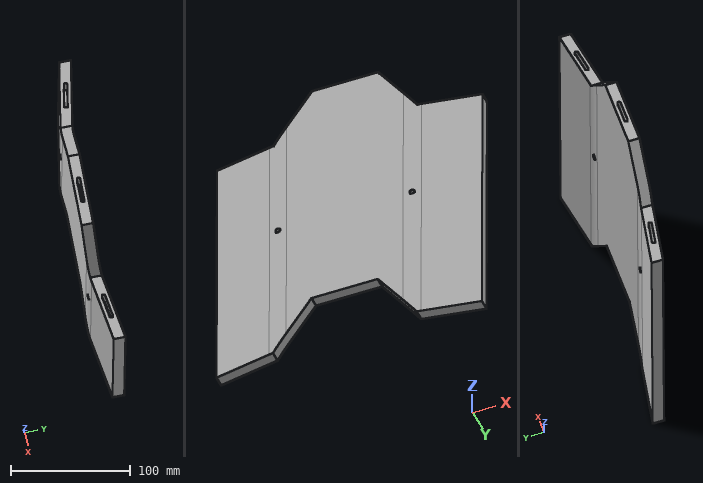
import cadquery as cq
import math

width = 240.0
height = 290.0
thickness = 10.0
wing_angle = 9.7
lean_angle = 0.25
bend_x = 60.75
bend_half_width = 7.98
shoulder_step = 50.0
tongue_half_width = 30.0
shoulder_x = 65.0
slot_length = 21.0
slot_width = 3.0
slot_depth = 29.0
wing_slot_x = 91.4
hole_diameter = 4.4
hole_z = 140.0

half_width = width / 2
wing_top = height - shoulder_step
wing_slope = math.tan(math.radians(wing_angle))
bend_radius = bend_half_width / math.sin(math.radians(wing_angle / 2))


def bend_height(share):
    """Rise of the front face at a share of the bend angle, above its flat start."""
    return bend_radius * (1 - math.cos(math.radians(wing_angle * share)))


def bend_point(share, offset):
    """Point in the right bend, at an offset behind the front face."""
    turn = math.radians(wing_angle * share)
    start_x = bend_x - bend_half_width
    x = start_x + (bend_radius - offset) * math.sin(turn)
    return x, bend_height(share) + offset * math.cos(turn)


def wing_end(offset):
    """Point where a face of the right wing meets the vertical outer side."""
    x, y = bend_point(1, offset)
    return half_width, y + (half_width - x) * wing_slope


def mirrored(point):
    return -point[0], point[1]


def bent_sheet():
    """Cross-section seen along Z: flat middle, two curved bends and two raised wings."""
    section = (
        cq.Workplane("XY")
        .moveTo(*mirrored(wing_end(0)))
        .lineTo(*mirrored(bend_point(1, 0)))
        .threePointArc(mirrored(bend_point(0.5, 0)), mirrored(bend_point(0, 0)))
        .lineTo(*bend_point(0, 0))
        .threePointArc(bend_point(0.5, 0), bend_point(1, 0))
        .lineTo(*wing_end(0))
        .lineTo(*wing_end(thickness))
        .lineTo(*bend_point(1, thickness))
        .threePointArc(bend_point(0.5, thickness), bend_point(0, thickness))
        .lineTo(*mirrored(bend_point(0, thickness)))
        .threePointArc(mirrored(bend_point(0.5, thickness)), mirrored(bend_point(1, thickness)))
        .lineTo(*mirrored(wing_end(thickness)))
        .close()
    )
    return section.extrude(height)


def front_outline():
    """Outline with a tapered tongue on top and a matching notch underneath."""
    right_side = [
        (tongue_half_width, height),
        (shoulder_x, wing_top),
        (half_width, wing_top),
        (half_width, 0),
        (shoulder_x, 0),
        (tongue_half_width, shoulder_step),
    ]
    left_side = [mirrored(point) for point in reversed(right_side)]
    outline = cq.Workplane("XZ").polyline(right_side + left_side).close()
    return outline.extrude(height, both=True)


def edge_slot(x, y, z, angle):
    """Blind slot sunk into a top edge, along the sheet."""
    slot = cq.Workplane("XY").slot2D(slot_length, slot_width, angle).extrude(-slot_depth)
    return slot.translate((x, y, z))


plate = bent_sheet().intersect(front_outline())

middle = thickness / 2
wing_start_x, wing_start_y = bend_point(1, middle)
wing_slot_y = wing_start_y + (wing_slot_x - wing_start_x) * wing_slope
plate = plate.cut(edge_slot(0, middle, height, 0))
for side in (-1, 1):
    plate = plate.cut(edge_slot(side * wing_slot_x, wing_slot_y, wing_top, side * wing_angle))

for side in (-1, 1):
    turn = math.radians(wing_angle / 2)
    direction = cq.Vector(-side * math.sin(turn), math.cos(turn), 0)
    centre_x, centre_y = bend_point(0.5, middle)
    centre = cq.Vector(side * centre_x, centre_y, hole_z)
    drill = cq.Solid.makeCylinder(
        hole_diameter / 2, 2 * thickness, centre - direction * thickness, direction
    )
    plate = plate.cut(cq.Workplane(obj=drill))

result = plate.rotate((0, 0, 0), (1, 0, 0), -lean_angle)